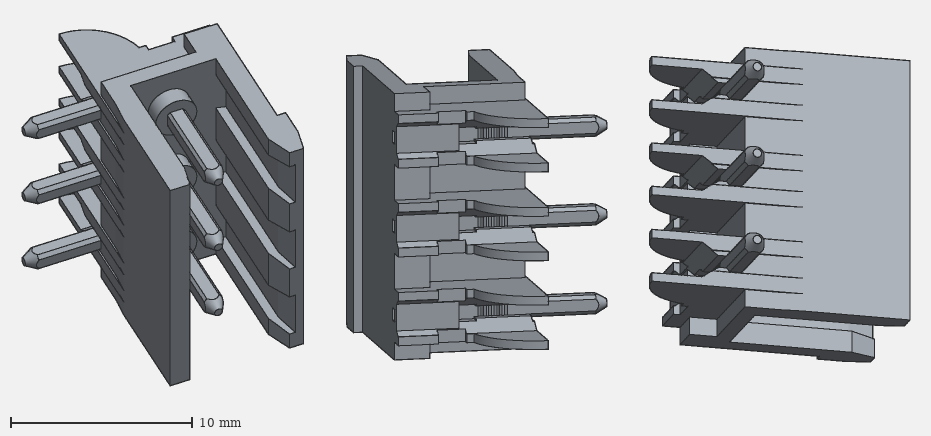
import cadquery as cq
import math

length = 14.8
height = 15.0
pole_count = 3
pole_pitch = height / pole_count

depth = 7.86
cross_wall_back = 5.37
cross_wall_face = 6.32
front_wall = 1.47
rear_wall_inside = 6.63
rear_block_back = 3.81
rear_block_front = 5.85

tip_taper_length = 1.35
tip_taper = 0.27
latch_start = 11.8
latch_height = 0.51
rear_lead_in_start = 13.32
rear_lead_in_end = 7.25

recess_depth = 0.1
recess_end = 7.32
recess_ramp_end = 8.62

keyway_half = 1.28
keyway_half_deep = 1.42
keyway_floor = 7.25
keyway_floor_end = 7.59

rib_outer_half = 1.5
rib_inner_half = 1.0
rib_round_radius = 3.69
rib_back = 2.8
rib_notch_depth = 0.38
rib_notch_front = 3.99
rib_notch_back = 5.58

funnel_start = 2.88
funnel_slope = 0.7
leg_slit_half = 0.35
bend_slit_half = 0.46
web_half = 0.75
front_slot_half = 0.6

pin_width = 1.08
pin_axis_y = 3.78
pin_tip_x = 12.95
leg_tip_y = -4.35
leg_bevel = 0.21
contact_bevel = 0.16
tip_radius = 0.24
tip_cone_slope = 0.56
boss_radius = 1.25
boss_end = 7.32
serration_count = 6
serration_pitch = 0.3
serration_ramp = 0.16
serration_depth = 0.12
serration_start = 1.35

pin_half = pin_width / 2
leg_axis_x = cross_wall_back - pin_half
leg_back = cross_wall_back - pin_width
bend_front = pin_axis_y - pin_half
bend_back = pin_axis_y + pin_half


def prism(points, z_low, z_high):
    """Extrude a closed XY outline between two heights."""
    return cq.Workplane("XY").workplane(offset=z_low).polyline(points).close().extrude(z_high - z_low)


def box(x_low, x_high, y_low, y_high, half):
    """Box centred on Z = 0."""
    size = (x_high - x_low, y_high - y_low, 2 * half)
    return cq.Workplane("XY").box(*size, centered=False).translate((x_low, y_low, -half))


def xz_prism(points, y_low, y_high):
    """Extrude a closed XZ outline between two Y positions."""
    return cq.Workplane("XZ", origin=(0, y_low, 0)).polyline(points).close().extrude(y_low - y_high)


def make_housing():
    latch_top = depth + latch_height
    outline = [
        (cross_wall_back, recess_depth),
        (recess_end, recess_depth),
        (recess_ramp_end, 0),
        (length, 0),
        (length, front_wall - tip_taper),
        (length - tip_taper_length, front_wall),
        (cross_wall_face, front_wall),
        (cross_wall_face, rear_wall_inside),
        (rear_lead_in_start, rear_wall_inside),
        (length, rear_lead_in_end),
        (length, latch_top - tip_taper),
        (length - tip_taper_length, latch_top),
        (latch_start, latch_top),
        (latch_start, depth),
        (rear_block_back, depth),
        (rear_block_back, rear_block_front),
        (cross_wall_back, rear_block_front),
    ]
    return prism(outline, 0, height)


def make_ribs():
    """Rib block of one pole, centred on Z = 0, still solid between its two ribs."""
    round_end_y = math.sqrt(rib_round_radius**2 - (rib_round_radius - rib_back) ** 2)
    diagonal = rib_round_radius * math.sqrt(0.5)
    notch_floor = rib_back + rib_notch_depth
    outline = (
        cq.Workplane("XY")
        .moveTo(recess_ramp_end, 0)
        .lineTo(0, 0)
        .threePointArc((rib_round_radius - diagonal, diagonal), (rib_back, round_end_y))
        .lineTo(rib_back, rib_notch_front)
        .lineTo(notch_floor, rib_notch_front)
        .lineTo(notch_floor, rib_notch_back)
        .lineTo(rib_back, rib_notch_back)
        .lineTo(rib_back, depth)
        .lineTo(cross_wall_face, depth)
        .lineTo(cross_wall_face, front_wall)
        .lineTo(recess_ramp_end, front_wall)
        .close()
    )
    return outline.extrude(rib_outer_half, both=True)


def funnel_x(half):
    """X position at which the funnel has narrowed to this half height."""
    return funnel_start + (rib_inner_half - half) / funnel_slope


def funnel_step(end_half, y_low, y_high):
    floor = funnel_x(end_half)
    profile = [
        (0, -rib_inner_half),
        (funnel_start, -rib_inner_half),
        (floor, -end_half),
        (floor, end_half),
        (funnel_start, rib_inner_half),
        (0, rib_inner_half),
    ]
    return xz_prism(profile, y_low, y_high)


def cut_pole(ribs):
    """Open the funnel, its passage to the bend of the pin and the recess at the front."""
    recess = [(0, 0), (0, recess_depth), (recess_end, recess_depth), (recess_ramp_end, 0)]
    return (
        ribs.cut(funnel_step(leg_slit_half, 0, bend_front))
        .cut(funnel_step(bend_slit_half, bend_front, bend_back))
        .cut(funnel_step(web_half, bend_back, depth))
        .cut(box(funnel_x(bend_slit_half), leg_back, bend_front, bend_back, bend_slit_half))
        .cut(prism(recess, -front_slot_half, front_slot_half))
    )


def make_leg_slit():
    """Slit behind the leg of one pin, open to the front and the rear of the housing."""
    return box(funnel_x(leg_slit_half), leg_back, 0, depth, leg_slit_half)


def make_keyway():
    """Undercut groove of one pole, with a floor that deepens towards the free end."""
    groove = (
        cq.Workplane("YZ", origin=(cross_wall_face, 0, 0))
        .polyline(
            [
                (rear_wall_inside, -keyway_half),
                (keyway_floor, -keyway_half_deep),
                (keyway_floor, keyway_half_deep),
                (rear_wall_inside, keyway_half),
            ]
        )
        .close()
        .extrude(length - cross_wall_face)
    )
    floor_ramp = [
        (rear_lead_in_start, keyway_floor),
        (length, keyway_floor_end),
        (length, keyway_floor),
    ]
    return groove.union(prism(floor_ramp, -keyway_half_deep, keyway_half_deep))


def make_pin_bar(bar_length, bevel):
    """Bevelled square bar along +Z from the origin, with a blunt conical tip."""
    corner_radius = math.hypot(pin_half, pin_half - bevel)
    cone_length = (corner_radius - tip_radius) / tip_cone_slope
    bar = cq.Workplane("XY").rect(pin_width, pin_width).extrude(bar_length).edges("|Z").chamfer(bevel)
    envelope = (
        cq.Workplane("XZ")
        .polyline(
            [
                (0, 0),
                (corner_radius, 0),
                (corner_radius, bar_length - cone_length),
                (tip_radius, bar_length),
                (0, bar_length),
            ]
        )
        .close()
        .revolve(360, (0, 0, 0), (0, 1, 0))
    )
    return bar.intersect(envelope)


def make_pin():
    leg = make_pin_bar(bend_front - leg_tip_y, leg_bevel).rotate((0, 0, 0), (1, 0, 0), 90)
    leg = leg.translate((leg_axis_x, bend_front, 0))
    contact = make_pin_bar(pin_tip_x - cross_wall_back, contact_bevel).rotate((0, 0, 0), (0, 1, 0), 90)
    contact = contact.translate((cross_wall_back, pin_axis_y, 0))
    bend = box(leg_back, cross_wall_back, bend_front, bend_back, pin_half)
    boss = (
        cq.Workplane("YZ", origin=(cross_wall_back, pin_axis_y, 0))
        .circle(boss_radius)
        .extrude(boss_end - cross_wall_back)
    )
    return leg.union(bend).union(contact).union(boss)


def make_serrations():
    """Saw-tooth notches across the back of the leg."""
    notches = cq.Workplane("XY")
    for i in range(serration_count):
        y = serration_start + i * serration_pitch
        outline = [
            (leg_back, y),
            (leg_back, y + serration_ramp),
            (leg_back + serration_depth, y + serration_ramp),
        ]
        notches = notches.add(prism(outline, -leg_slit_half, leg_slit_half))
    return notches.combine()


rib_block = cut_pole(make_ribs())
leg_slit = make_leg_slit()
keyway = make_keyway()
pin = make_pin()
serrations = make_serrations()

result = make_housing()
for pole in range(pole_count):
    shift = (0, 0, (pole + 0.5) * pole_pitch)
    result = result.union(rib_block.translate(shift))
    result = result.cut(leg_slit.translate(shift)).cut(keyway.translate(shift))
    result = result.union(pin.translate(shift)).cut(serrations.translate(shift))